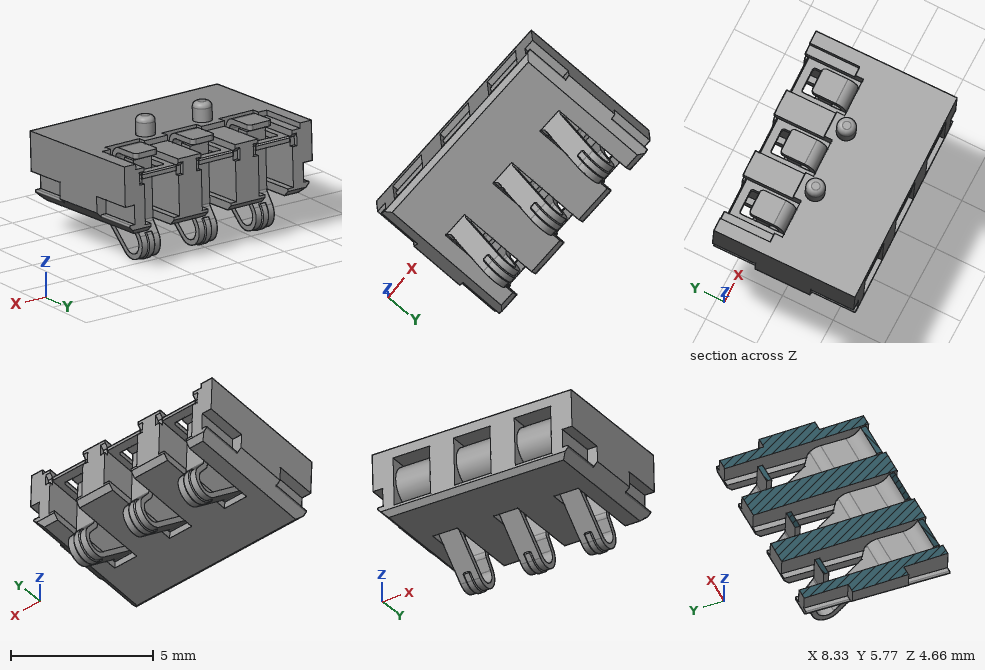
import cadquery as cq
import math

LEAN_ABOUT_X = 2.25
LEAN_ABOUT_Z = 1.22

WIDTH = 8.21
DEPTH = 5.515
HEIGHT = 2.61
SIDE_CHAMFER = 0.5
END_CHAMFER = 0.2

PITCH = 2.5
CONTACT_PLACES = [-PITCH, 0.0, PITCH]
SLOT_WIDTH = 1.5
FLOOR = 0.3
ROOF = 2.21
SLOT_OPEN_FROM = 3.25
FLOOR_GAP_WIDTH = 1.0
FLOOR_GAP_FROM = 2.165

STEP_DEPTH = 0.2
STEP_LENGTH = 1.95
END_WALL = 0.5

UNDERCUT_WIDTH = 1.9
UNDERCUT_DEPTH = 0.15
UNDERCUT_BOTTOM = 1.8
UNDERCUT_TOP = 2.265

NOTCH_LENGTH = 1.68
NOTCH_INSET = 0.4
NOTCH_BOTTOM = 0.4
NOTCH_TOP = 1.12
LIP_RADIUS = 0.05

PEG_DIAMETER = 0.7
PEG_HEIGHT = 0.7
PEG_ROUND = 0.2
PEG_Y = 2.95

STRIP = 0.2
HALF_STRIP = STRIP / 2
DRUM_WIDTH = 1.42
DRUM_RADIUS = 0.71
DRUM_Y = 0.88
DRUM_Z = 1.35
PLATE_Z = DRUM_Z + DRUM_RADIUS
PLATE_TOP = PLATE_Z + HALF_STRIP
PLATE_FRONT = SLOT_OPEN_FROM
PLATE_END = 5.4
PLATE_EDGE_CHAMFER = 0.05
PLATE_HOLE_END = 5.05
HOLE_ROUND = 0.1

TONGUE_WIDTH = 1.0
TONGUE_TOP = 2.65
TONGUE_FRONT = 3.315
TONGUE_END = 4.69
TONGUE_BEND = 0.41
TONGUE_ROOT_FILLET = 0.05
TONGUE_ROUND = 0.15

LOOP_WIDTH = 0.8
LOOP_RADIUS = 0.5
LOOP_Y = 4.22
LOOP_Z = -0.76
LEG_ANGLE = math.radians(44)
RETURN_ANGLE = math.radians(55)
LEG_BEND = 0.5
TAPER_TOP = 0.5
TAPER_BOTTOM = 0.25
RETURN_Y = 4.315
RETURN_TOP = 2.33
RETURN_BEND = 0.25
HEAD_DEPTH = 0.5
HEAD_BOTTOM = 1.67

BEAD_WIDTH = 0.3
BEAD_RISE = 0.04
BEAD_BEVEL = 0.04
BEAD_THICKNESS = 0.13
BEAD_LEG_LENGTH = 0.35
BEAD_RETURN_LENGTH = 0.1


def block(x_size, y_from, y_to, z_from, z_to):
    """Box centred on X = 0 between the given Y and Z limits."""
    return cq.Workplane("XY").box(
        x_size, y_to - y_from, z_to - z_from, centered=(True, False, False)
    ).translate((0, y_from, z_from))


def make_clip_notch():
    """Cutter for the left front notch, with the rounded edge of its lip."""
    side = -WIDTH / 2
    lip_corner = side + SIDE_CHAMFER - NOTCH_BOTTOM
    tangent = LIP_RADIUS * math.tan(math.radians(67.5))
    slope = tangent * math.sqrt(0.5)
    centre_x = lip_corner + tangent
    centre_z = NOTCH_BOTTOM - LIP_RADIUS
    outside = side - NOTCH_INSET
    return (
        cq.Workplane("XZ")
        .moveTo(side + NOTCH_INSET, NOTCH_TOP)
        .lineTo(side + NOTCH_INSET, NOTCH_BOTTOM)
        .lineTo(centre_x, NOTCH_BOTTOM)
        .threePointArc(
            (
                centre_x - LIP_RADIUS * math.sin(math.radians(67.5)),
                centre_z + LIP_RADIUS * math.cos(math.radians(67.5)),
            ),
            (lip_corner + slope, NOTCH_BOTTOM - slope),
        )
        .lineTo(outside, NOTCH_BOTTOM - slope)
        .lineTo(outside, NOTCH_TOP)
        .close()
        .extrude(-NOTCH_LENGTH)
    )


def make_slot():
    """Cutter for one contact slot, its gap in the floor and its rear undercuts."""
    tunnel = block(SLOT_WIDTH, 0, DEPTH, FLOOR, ROOF)
    open_top = block(SLOT_WIDTH, SLOT_OPEN_FROM, DEPTH, FLOOR, HEIGHT)
    floor_gap = block(FLOOR_GAP_WIDTH, FLOOR_GAP_FROM, DEPTH, 0, FLOOR)
    undercut = (
        cq.Workplane("YZ")
        .moveTo(DEPTH, UNDERCUT_TOP)
        .lineTo(DEPTH - UNDERCUT_DEPTH, UNDERCUT_TOP - UNDERCUT_DEPTH)
        .lineTo(DEPTH - UNDERCUT_DEPTH, UNDERCUT_BOTTOM)
        .lineTo(DEPTH, UNDERCUT_BOTTOM)
        .close()
        .extrude(UNDERCUT_WIDTH / 2, both=True)
    )
    return tunnel.union(open_top).union(floor_gap).union(undercut)


def make_housing():
    body = block(WIDTH, 0, DEPTH, 0, HEIGHT)
    body = body.faces("<Z").edges("|Y").chamfer(SIDE_CHAMFER)
    body = body.faces("<Z").edges("|X").chamfer(END_CHAMFER)

    step_width = WIDTH - 2 * END_WALL
    body = body.cut(block(step_width, DEPTH - STEP_LENGTH, DEPTH, HEIGHT - STEP_DEPTH, HEIGHT))

    front_notch = make_clip_notch()
    for notch_y in (0, DEPTH - NOTCH_LENGTH):
        notch = front_notch.translate((0, notch_y, 0))
        body = body.cut(notch).cut(notch.mirror("YZ"))

    for x in CONTACT_PLACES:
        body = body.cut(make_slot().translate((x, 0, 0)))

    for x in (-PITCH / 2, PITCH / 2):
        peg = cq.Workplane("XY").circle(PEG_DIAMETER / 2).extrude(PEG_HEIGHT)
        peg = peg.faces(">Z").edges().fillet(PEG_ROUND)
        body = body.union(peg.translate((x, PEG_Y, HEIGHT)))
    return body


def section_plane(y, z, direction):
    """Plane across a path in the YZ plane, at a point where it runs at the given angle."""
    return cq.Plane(
        origin=(0, y, z), xDir=(1, 0, 0), normal=(0, math.cos(direction), math.sin(direction))
    )


def sweep_strip(path, start, width, thickness):
    """Strip of rectangular section along a path in the YZ plane; start = (y, z, direction)."""
    return cq.Workplane(section_plane(*start)).rect(width, thickness).sweep(path)


def leg_point(radius, along):
    """Point on the spring leg, measured up from where it leaves a loop of this radius."""
    return (
        LOOP_Y - radius * math.sin(LEG_ANGLE) - along * math.cos(LEG_ANGLE),
        LOOP_Z - radius * math.cos(LEG_ANGLE) + along * math.sin(LEG_ANGLE),
    )


def return_point(radius, along):
    """Point on the return leg, measured up from where it leaves a loop of this radius."""
    return (
        LOOP_Y + radius * math.sin(RETURN_ANGLE) - along * math.cos(RETURN_ANGLE),
        LOOP_Z + radius * math.cos(RETURN_ANGLE) + along * math.sin(RETURN_ANGLE),
    )


def loop_path(radius, leg_length, return_length):
    """Path down the leg, around the loop and up the return leg."""
    middle_y = LOOP_Y + radius * math.sqrt(0.5)
    middle_z = LOOP_Z - radius * math.sqrt(0.5)
    return (
        cq.Workplane("YZ")
        .moveTo(*leg_point(radius, leg_length))
        .lineTo(*leg_point(radius, 0))
        .threePointArc((middle_y, middle_z), return_point(radius, 0))
        .lineTo(*return_point(radius, return_length))
    )


def make_drum_and_leg():
    """Plate running forward, half-round drum and the leg that slopes down to the loop."""
    drum_bottom = DRUM_Z - DRUM_RADIUS
    leg_end = leg_point(LOOP_RADIUS, 0)
    corner_along = (drum_bottom - leg_end[1]) / math.sin(LEG_ANGLE)
    bend_tangent = LEG_BEND * math.tan(LEG_ANGLE / 2)
    corner_y = leg_point(LOOP_RADIUS, corner_along)[0]
    path = (
        cq.Workplane("YZ")
        .moveTo(PLATE_FRONT, PLATE_Z)
        .lineTo(DRUM_Y, PLATE_Z)
        .threePointArc((DRUM_Y - DRUM_RADIUS, DRUM_Z), (DRUM_Y, drum_bottom))
        .lineTo(corner_y - bend_tangent, drum_bottom)
        .tangentArcPoint(leg_point(LOOP_RADIUS, corner_along - bend_tangent), relative=False)
        .lineTo(*leg_end)
    )
    strip = sweep_strip(path, (PLATE_FRONT, PLATE_Z, math.pi), DRUM_WIDTH, STRIP)

    drum_half = DRUM_WIDTH / 2
    loop_half = LOOP_WIDTH / 2
    lowest = LOOP_Z - 2 * LOOP_RADIUS
    front_outline = (
        cq.Workplane("XZ")
        .polyline(
            [
                (-drum_half, HEIGHT),
                (-drum_half, TAPER_TOP),
                (-loop_half, TAPER_BOTTOM),
                (-loop_half, lowest),
                (loop_half, lowest),
                (loop_half, TAPER_BOTTOM),
                (drum_half, TAPER_TOP),
                (drum_half, HEIGHT),
            ]
        )
        .close()
        .extrude(-DEPTH)
    )
    return strip.intersect(front_outline)


def make_loop():
    """Loop below the housing, with the return leg that turns upright into a thicker head."""
    overlap = STRIP / 4
    corner_along = (return_point(LOOP_RADIUS, 0)[0] - RETURN_Y) / math.cos(RETURN_ANGLE)
    corner_z = return_point(LOOP_RADIUS, corner_along)[1]
    bend_tangent = RETURN_BEND * math.tan((math.pi / 2 - RETURN_ANGLE) / 2)
    path = (
        loop_path(LOOP_RADIUS, overlap, corner_along - bend_tangent)
        .tangentArcPoint((RETURN_Y, corner_z + bend_tangent), relative=False)
        .lineTo(RETURN_Y, RETURN_TOP)
    )
    start = (*leg_point(LOOP_RADIUS, overlap), -LEG_ANGLE)
    loop = sweep_strip(path, start, LOOP_WIDTH, STRIP)

    head_rear = RETURN_Y + HALF_STRIP
    head = block(LOOP_WIDTH, head_rear - HEAD_DEPTH, head_rear, HEAD_BOTTOM, RETURN_TOP)
    return loop.union(head)


def make_bead():
    """Raised bead with bevelled edges around the outside of the loop."""
    path_radius = LOOP_RADIUS + HALF_STRIP + BEAD_RISE - BEAD_THICKNESS
    half_width = BEAD_WIDTH / 2
    half_crest = half_width - BEAD_BEVEL
    shoulder = BEAD_THICKNESS - BEAD_BEVEL
    path = loop_path(path_radius, BEAD_LEG_LENGTH, BEAD_RETURN_LENGTH)
    leg_end = leg_point(path_radius, BEAD_LEG_LENGTH)
    return_end = return_point(path_radius, BEAD_RETURN_LENGTH)
    bead = (
        cq.Workplane(section_plane(*leg_end, -LEG_ANGLE))
        .polyline(
            [
                (-half_width, 0),
                (-half_width, shoulder),
                (-half_crest, BEAD_THICKNESS),
                (half_crest, BEAD_THICKNESS),
                (half_width, shoulder),
                (half_width, 0),
            ]
        )
        .close()
        .sweep(path)
    )
    for y, z in (leg_end, return_end):
        bead = bead.faces(cq.NearestToPointSelector((0, y, z))).chamfer(BEAD_BEVEL)
    return bead


def make_plate():
    """Flat plate across the slot, with the hole that the tongue is cut from."""
    plate = block(SLOT_WIDTH, PLATE_FRONT, PLATE_END, PLATE_TOP - STRIP, PLATE_TOP)
    plate = plate.faces(">Y").edges(">Z").chamfer(PLATE_EDGE_CHAMFER)
    hole_start = TONGUE_FRONT + STRIP
    hole = block(TONGUE_WIDTH, hole_start, PLATE_HOLE_END, PLATE_TOP - STRIP, PLATE_TOP)
    return plate.cut(hole.edges("|Z and >Y").fillet(HOLE_ROUND))


def make_tongue():
    """Solder tongue rising from the plate and folding back to the rear."""
    middle_y = TONGUE_FRONT + HALF_STRIP
    middle_z = TONGUE_TOP - HALF_STRIP
    bend = TONGUE_BEND - HALF_STRIP
    path = (
        cq.Workplane("YZ")
        .moveTo(middle_y, PLATE_Z)
        .lineTo(middle_y, middle_z - bend)
        .tangentArcPoint((middle_y + bend, middle_z), relative=False)
        .lineTo(TONGUE_END, middle_z)
    )
    tongue = sweep_strip(path, (middle_y, PLATE_Z, math.pi / 2), TONGUE_WIDTH, STRIP)
    return tongue.faces(">Y").edges("|Z").fillet(TONGUE_ROUND)


def make_contact():
    body = make_plate().union(make_drum_and_leg()).union(make_tongue())
    root = cq.NearestToPointSelector((0, TONGUE_FRONT, PLATE_TOP))
    body = body.edges(root).fillet(TONGUE_ROOT_FILLET)
    return body.union(make_loop()).union(make_bead())


def lean(solid):
    """Turn a body from its square position to its leaning one."""
    leaned = solid.rotate((0, 0, 0), (1, 0, 0), LEAN_ABOUT_X)
    return leaned.rotate((0, 0, 0), (0, 0, 1), LEAN_ABOUT_Z)


housing = lean(make_housing())
contacts = [lean(make_contact().translate((x, 0, 0))) for x in CONTACT_PLACES]

result = cq.Compound.makeCompound([housing.val(), *[contact.val() for contact in contacts]])